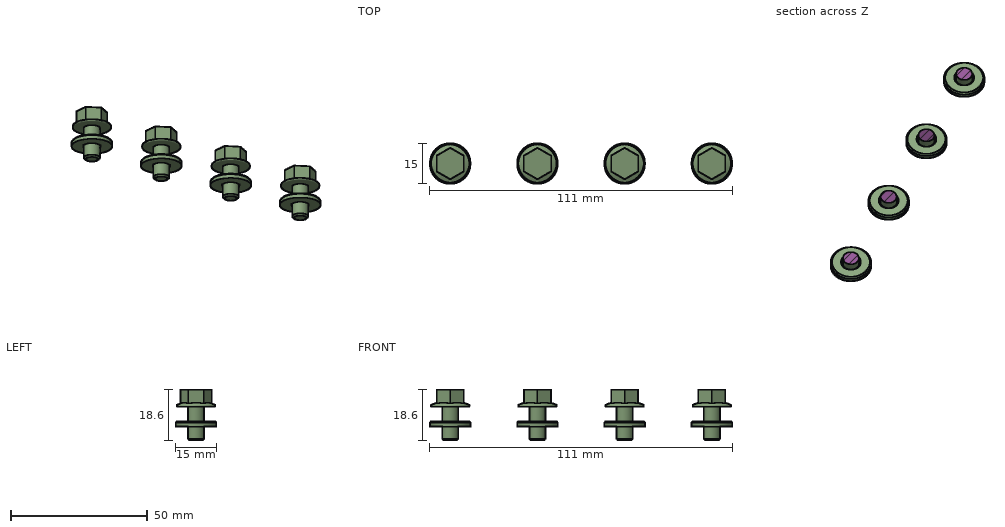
import cadquery as cq
import math

bolt_count = 4
row_length = 111.0

washer_diameter = 15.0
washer_hole_diameter = 6.4
washer_thickness = 2.0
washer_bottom = 5.1
washer_chamfer = 0.5
washer_hole_chamfer = 0.4

bolt_height = 18.6
shank_diameter = 6.0
flange_underside = 12.3
tip_chamfer = 0.7
hex_across_flats = 10.0
flange_diameter = 14.2
flange_rim_round = 0.4
flange_cone_angle = 20.0

bolt_pitch = (row_length - washer_diameter) / (bolt_count - 1)


def make_flange():
    """Disc with a full-round rim, tangent to the flat underside and to the shallow cone above."""
    slope = math.radians(flange_cone_angle)
    rim_radius = flange_diameter / 2
    arc_center_x = rim_radius - flange_rim_round
    arc_center_z = flange_underside + flange_rim_round
    crown_angle = math.pi / 2 - slope

    def rim_point(angle):
        return (
            arc_center_x + flange_rim_round * math.cos(angle),
            arc_center_z + flange_rim_round * math.sin(angle),
        )

    crown_radius, crown_z = rim_point(crown_angle)
    top_radius = hex_across_flats / 2
    top_z = crown_z + (crown_radius - top_radius) * math.tan(slope)
    return (
        cq.Workplane("XZ")
        .moveTo(0, flange_underside)
        .lineTo(arc_center_x, flange_underside)
        .threePointArc(rim_point(0), (crown_radius, crown_z))
        .lineTo(top_radius, top_z)
        .lineTo(0, top_z)
        .close()
        .revolve(360, (0, 0, 0), (0, 1, 0))
    )


def make_hex_head():
    """Hexagonal prism with two flats facing -X and +X."""
    hex_across_corners = hex_across_flats / math.cos(math.pi / 6)
    return (
        cq.Workplane("XY")
        .workplane(offset=flange_underside)
        .polygon(6, hex_across_corners)
        .extrude(bolt_height - flange_underside)
        .rotate((0, 0, 0), (0, 0, 1), 30)
    )


def make_bolt():
    shank = cq.Workplane("XY").circle(shank_diameter / 2).extrude(flange_underside)
    shank = shank.faces("<Z").chamfer(tip_chamfer)
    return shank.union(make_flange()).union(make_hex_head())


def make_washer():
    """Flat ring with chamfered upper edges, clear of the shank all round."""
    outer_radius = washer_diameter / 2
    hole_radius = washer_hole_diameter / 2
    washer_top = washer_bottom + washer_thickness
    return (
        cq.Workplane("XZ")
        .moveTo(hole_radius, washer_bottom)
        .lineTo(outer_radius, washer_bottom)
        .lineTo(outer_radius, washer_top - washer_chamfer)
        .lineTo(outer_radius - washer_chamfer, washer_top)
        .lineTo(hole_radius + washer_hole_chamfer, washer_top)
        .lineTo(hole_radius, washer_top - washer_hole_chamfer)
        .close()
        .revolve(360, (0, 0, 0), (0, 1, 0))
    )


bodies = []
for index in range(bolt_count):
    bolt_x = (index - (bolt_count - 1) / 2) * bolt_pitch
    bolt = make_bolt().translate((bolt_x, 0, 0))
    washer = make_washer().translate((bolt_x, 0, 0))
    bodies.append(bolt.val())
    bodies.append(washer.val())

result = cq.Compound.makeCompound(bodies)